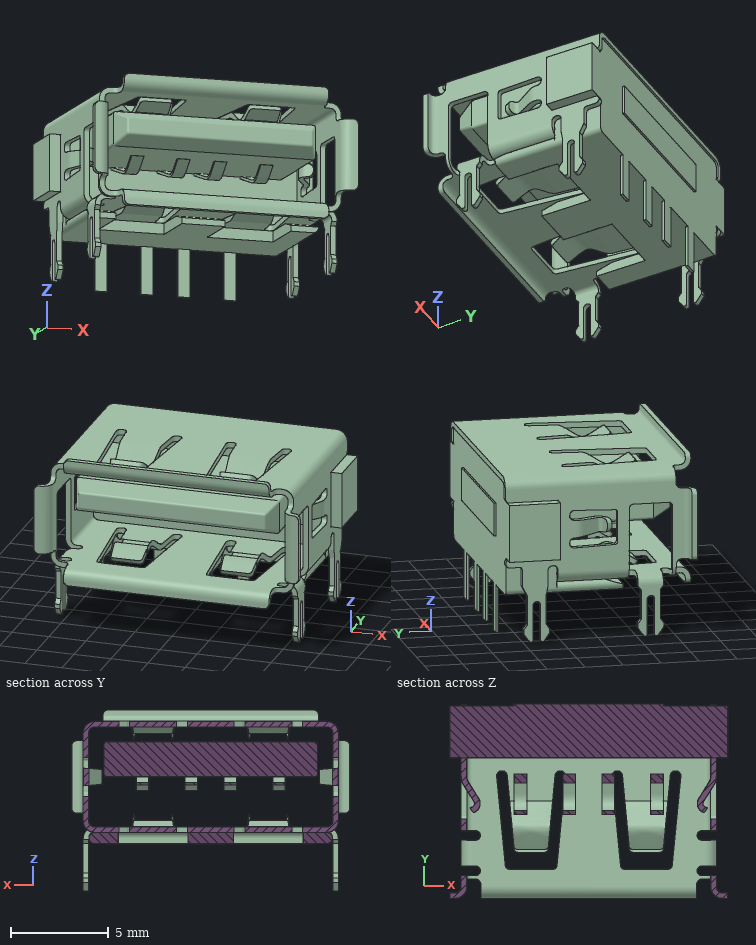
import cadquery as cq
import math


OVERALL_WIDTH = 14.3
OVERALL_HEIGHT = 9.4
FRONT_Y = -4.99
REAR_Y = 5.0
OVERCUT = 0.15

FULL_ROUND = 0.49
FORWARD = 180
TUBE_AXIS = ((0, 0, 0), (0, 1, 0))

SHEET = 0.3
BEND_INNER = 0.3
BEND_OUTER = BEND_INNER + SHEET
BEND_MID = BEND_INNER + SHEET / 2
FLARE_TAIL = 0.29
FLARE_RISE = BEND_INNER + FLARE_TAIL
HALF_WIDTH = OVERALL_WIDTH / 2 - FLARE_RISE
HALF_HEIGHT = 2.86
CAVITY_HALF_WIDTH = HALF_WIDTH - SHEET
CAVITY_HALF_HEIGHT = HALF_HEIGHT - SHEET
TUBE_FRONT_Y = -3.99

FLARE_BEND_Y = FRONT_Y + BEND_OUTER
WIDE_FLARE_HALF = 5.55
SIDE_FLARE_HALF = 1.87
FLARE_CORNER = 0.27
FLARE_ROOT_FILLET = 0.3

SPRING_BEND_RADIUS = 0.65
SPRING_ANGLE = 32
SPRING_ZONE_DEPTH = 1.15
SLOT_REAR_Y = 1.56
SLOT_FRONT_Y = -3.47
SLOT_REAR_HALF = 1.79
SLOT_FRONT_HALF = 1.3
TONGUE_REAR_HALF = 1.26
TONGUE_FRONT_HALF = 0.79
TONGUE_BEND_Y = 0.03
TONGUE_SLOPE = 0.85
TONGUE_RETURN = 0.99
SPRING_X = 2.96
SLOT_CORNER = 0.19
TONGUE_TIP_RADIUS = 0.2

SIDE_SLOT_REAR_Y = 1.62
SIDE_SLOT_FRONT_Y = -0.9
SIDE_SLOT_REAR_HALF = 1.0
SIDE_SLOT_FRONT_HALF = 0.92
SIDE_TONGUE_REAR_HALF = 0.49
SIDE_TONGUE_FRONT_HALF = 0.33
SIDE_TONGUE_BEND_Y = 1.27
SIDE_TONGUE_SLOPE = 1.02
SIDE_HOOK_RADIUS = 0.35
SIDE_HOOK_ANGLE = 65
SIDE_HOOK_LENGTH = 0.33
SIDE_SLOT_CORNER = 0.15
SIDE_TONGUE_TIP_RADIUS = 0.29

WINDOW_REAR_Y = -1.52
WINDOW_FRONT_Y = -3.8
WINDOW_TOP_Z = 1.16
WINDOW_CORNER = 0.23
RELIEF_WIDTH = 0.47
RELIEF_END_X = 5.58

LEG_TIP_Z = -5.86
LEG_HALF = 0.5
LEG_SLOT_WIDTH = 0.39
LEG_SLOT_TOP_Z = -3.73
BARB_HALF = 0.69
BARB_START_Z = -4.93
BARB_TOP_Z = -5.19
BARB_BOTTOM_Z = -5.42
LEG_TIP_HALF = 0.37
LEG_TIP_RADIUS = 0.07
FRONT_LEG_HALF = (WINDOW_REAR_Y - WINDOW_FRONT_Y) / 2 - RELIEF_WIDTH
FRONT_LEG_Y = (WINDOW_REAR_Y + WINDOW_FRONT_Y) / 2
FRONT_LEG_BEND_Z = -CAVITY_HALF_HEIGHT - BEND_OUTER
FRONT_LEG_SHOULDER_Z = -3.22
FRONT_LEG_NECK_Z = -3.43
REAR_LEG_Y = 3.35
REAR_LEG_BACK_HALF = 0.76
REAR_LEG_FRONT_HALF = 0.59
REAR_LEG_SHOULDER_Z = -2.92
REAR_LEG_NECK_Z = -3.4

BLOCK_FRONT_Y = 2.23
BLOCK_REAR_Y = 4.9
BLOCK_BOTTOM_Z = -3.43
BLOCK_EDGE_RADIUS = 0.3
EAR_TOP_Z = 1.57
EAR_BOTTOM_Z = -1.43
EAR_CORNER = 0.21
STRAP_BOTTOM_Z = -1.87
STRAP_REAR_Y = 4.98
STRAP_END_RADIUS = 0.2
STRAP_LEG_FILLET = 0.17

FOOT_FRONT_Y = -1.27
FOOT_TOP_RADIUS = 0.26
FOOT_SLOPE_Y = -0.37
FOOT_FRONT_THICKNESS = 0.31

BOARD_HALF_WIDTH = 5.49
BOARD_TOP_Z = 1.82
BOARD_BOTTOM_Z = 0.0
BOARD_TAPER_Y = -3.03
BOARD_FRONT_Y = -4.03
BOARD_TAPER_INSET = 0.46
BOARD_EDGE_RADIUS = 0.16

BOSS_WIDTH = 7.72
BOSS_TOP_Z = 0.92
BOSS_BOTTOM_Z = -0.82

CONTACT_POSITIONS = (-3.5, -1.0, 1.0, 3.5)
CONTACT_WIDTH = 0.66
CONTACT_THICKNESS = 0.15
CONTACT_START_Y = 2.36
CONTACT_START_Z = 0.01
CONTACT_DOWN_ANGLE = 17
CONTACT_UP_ANGLE = 38
CONTACT_DOWN_LENGTH = 2.1
CONTACT_UP_LENGTH = 0.82
CONTACT_BEND_RADIUS = 0.86
PIN_THICKNESS = 0.15
PIN_BOTTOM_Z = HALF_HEIGHT + FLARE_RISE - OVERALL_HEIGHT


def span(x0, x1, y0, y1, z0, z1):
    """Box between the given limits."""
    return cq.Workplane("XY").box(x1 - x0, y1 - y0, z1 - z0, centered=False).translate((x0, y0, z0))


def both_sides(body):
    """The body and its mirror image across the YZ plane."""
    return body.union(body.mirror("YZ"))


def direction(heading):
    """Unit vector of a heading in degrees."""
    return (math.cos(math.radians(heading)), math.sin(math.radians(heading)))


def final_heading(heading, moves):
    """Heading at the end of a path, in degrees."""
    return heading + sum(move[1] for move in moves if len(move) == 2)


def strip_edge(start, heading, moves, offset):
    """Points of a path offset to its left: each straight adds its end, each bend its middle and end."""
    x, y = start
    angle = math.radians(heading)
    points = []

    def add_point():
        points.append((x - offset * math.sin(angle), y + offset * math.cos(angle)))

    add_point()
    for move in moves:
        if len(move) == 1:
            x += move[0] * math.cos(angle)
            y += move[0] * math.sin(angle)
            add_point()
            continue
        radius, turn = move
        bend = math.copysign(radius, turn)
        centre_x = x - bend * math.sin(angle)
        centre_y = y + bend * math.cos(angle)
        for _ in range(2):
            angle += math.radians(turn) / 2
            x = centre_x + bend * math.sin(angle)
            y = centre_y - bend * math.cos(angle)
            add_point()
    return points


def draw_edge(outline, points, moves):
    """Continue the outline from the first point through the others with lines and arcs."""
    remaining = iter(points[1:])
    for move in moves:
        if len(move) == 1:
            outline = outline.lineTo(*next(remaining))
        else:
            outline = outline.threePointArc(next(remaining), next(remaining))
    return outline


def bent_strip(plane, start, heading, moves, thickness, width, smooth=False):
    """Strip of constant thickness that follows a centre line in the plane, centred across its width.

    A move is (length,) for a straight stretch, or (radius, turn) for a bend whose
    turn in degrees is positive to the left. Moves join smoothly. A smooth strip
    blends everything after the first straight stretch into one curve.
    """
    left = strip_edge(start, heading, moves, thickness / 2)
    right = strip_edge(start, heading, moves, -thickness / 2)
    outline = cq.Workplane(plane).workplane(offset=-width / 2).moveTo(*left[0])
    if smooth:
        end = final_heading(heading, moves)
        tangents = [direction(heading), direction(end)]
        back_tangents = [direction(end + 180), direction(heading + 180)]
        outline = outline.lineTo(*left[1]).spline(left[2:], tangents=tangents, includeCurrent=True)
        outline = outline.lineTo(*right[-1])
        outline = outline.spline(right[-2:0:-1], tangents=back_tangents, includeCurrent=True)
        outline = outline.lineTo(*right[0])
    else:
        outline = draw_edge(outline, left, moves).lineTo(*right[-1])
        outline = draw_edge(outline, right[::-1], moves[::-1])
    return outline.close().extrude(width)


def rounded_bar(half_width, half_height, radius, y0, y1):
    bar = span(-half_width, half_width, y0, y1, -half_height, half_height)
    return bar.edges("|Y").fillet(radius)


def make_tube():
    outer = rounded_bar(HALF_WIDTH, HALF_HEIGHT, BEND_OUTER, TUBE_FRONT_Y, REAR_Y)
    cavity = rounded_bar(CAVITY_HALF_WIDTH, CAVITY_HALF_HEIGHT, BEND_INNER,
                         TUBE_FRONT_Y - OVERCUT, REAR_Y + OVERCUT)
    return outer.cut(cavity)


def make_flare(wall_inner, half_width):
    """Lip at the front of the top wall: root with filleted corners, then a quarter bend outward."""
    root = (
        cq.Workplane("XY").workplane(offset=wall_inner)
        .moveTo(-half_width - FLARE_ROOT_FILLET, TUBE_FRONT_Y)
        .radiusArc((-half_width, TUBE_FRONT_Y - FLARE_ROOT_FILLET), FLARE_ROOT_FILLET)
        .lineTo(half_width, TUBE_FRONT_Y - FLARE_ROOT_FILLET)
        .radiusArc((half_width + FLARE_ROOT_FILLET, TUBE_FRONT_Y), FLARE_ROOT_FILLET)
        .close().extrude(SHEET)
    )
    lip = bent_strip("YZ", (TUBE_FRONT_Y, wall_inner + SHEET / 2), FORWARD,
                     [(TUBE_FRONT_Y - FLARE_BEND_Y,), (BEND_MID, -90), (FLARE_TAIL,)],
                     SHEET, 2 * half_width)
    lip = lip.faces(">Z").edges("|Y").fillet(FLARE_CORNER)
    return lip.union(root)


def flares():
    """The four lips, each turned about the tube axis from the top position."""
    wide = make_flare(CAVITY_HALF_HEIGHT, WIDE_FLARE_HALF)
    side = make_flare(CAVITY_HALF_WIDTH, SIDE_FLARE_HALF)
    return [wide, wide.rotate(*TUBE_AXIS, 180), side.rotate(*TUBE_AXIS, 90), side.rotate(*TUBE_AXIS, -90)]


def make_spring(wall_outer, rear_y, front_y, slot_halves, tongue_halves,
                slot_corner, tip_radius, path, smooth):
    """Opening and bent tongue of one spring in the top wall, centred on X = 0.

    The slot and the tongue sides are trapezoids, given by their half widths at the rear and the front.
    """
    def prism(rear_half, front_half):
        return (
            cq.Workplane("XY").workplane(offset=wall_outer - SPRING_ZONE_DEPTH)
            .polyline([(-rear_half, rear_y), (-front_half, front_y),
                       (front_half, front_y), (rear_half, rear_y)])
            .close().extrude(SPRING_ZONE_DEPTH + OVERCUT)
        )

    tongue_zone = prism(*tongue_halves)
    slot_zone = prism(*slot_halves).edges("|Z and <Y").fillet(slot_corner)
    slot_end_radius = FULL_ROUND * (slot_halves[0] - tongue_halves[0])
    arms = slot_zone.cut(tongue_zone).edges("|Z and >Y").fillet(slot_end_radius)

    strip = bent_strip("YZ", (rear_y, wall_outer - SHEET / 2), FORWARD, path,
                       SHEET, 2 * slot_halves[0], smooth)
    tongue = strip.intersect(tongue_zone)
    tip_direction = cq.Vector(0, *direction(final_heading(FORWARD, path)))
    tip = cq.selectors.DirectionMinMaxSelector(tip_direction)
    tongue = tongue.faces(tip).edges("not |X").fillet(tip_radius)
    return arms.union(tongue_zone), tongue


def wide_springs():
    """Two springs in the top wall and two in the floor, as (opening, tongue) pairs."""
    path = [(SLOT_REAR_Y - TONGUE_BEND_Y,), (SPRING_BEND_RADIUS, SPRING_ANGLE), (TONGUE_SLOPE,),
            (SPRING_BEND_RADIUS, -2 * SPRING_ANGLE), (TONGUE_RETURN,)]
    spring = make_spring(HALF_HEIGHT, SLOT_REAR_Y, SLOT_FRONT_Y,
                         (SLOT_REAR_HALF, SLOT_FRONT_HALF), (TONGUE_REAR_HALF, TONGUE_FRONT_HALF),
                         SLOT_CORNER, TONGUE_TIP_RADIUS, path, smooth=True)
    placed = []
    for x in (-SPRING_X, SPRING_X):
        top = [part.translate((x, 0, 0)) for part in spring]
        placed.append(top)
        placed.append([part.mirror("XY") for part in top])
    return placed


def side_springs():
    """One hooked spring in each side wall, as (opening, tongue) pairs."""
    path = [(SIDE_SLOT_REAR_Y - SIDE_TONGUE_BEND_Y,),
            (SPRING_BEND_RADIUS, SPRING_ANGLE), (SIDE_TONGUE_SLOPE,),
            (SIDE_HOOK_RADIUS, -SPRING_ANGLE - SIDE_HOOK_ANGLE), (SIDE_HOOK_LENGTH,)]
    spring = make_spring(HALF_WIDTH, SIDE_SLOT_REAR_Y, SIDE_SLOT_FRONT_Y,
                         (SIDE_SLOT_REAR_HALF, SIDE_SLOT_FRONT_HALF),
                         (SIDE_TONGUE_REAR_HALF, SIDE_TONGUE_FRONT_HALF),
                         SIDE_SLOT_CORNER, SIDE_TONGUE_TIP_RADIUS, path, smooth=False)
    return [[part.rotate(*TUBE_AXIS, angle) for part in spring] for angle in (90, -90)]


def make_leg(centre_y, back_half, front_half, top_z, shoulder_z, neck_z):
    """Split snap-in leg in the plane of the +X wall."""
    back = [(back_half, top_z), (back_half, shoulder_z), (LEG_HALF, neck_z), (LEG_HALF, BARB_START_Z),
            (BARB_HALF, BARB_TOP_Z), (BARB_HALF, BARB_BOTTOM_Z), (LEG_TIP_HALF, LEG_TIP_Z)]
    front = [(-half, z) for half, z in back[2:]]
    front = [(-front_half, top_z), (-front_half, shoulder_z)] + front
    outline = back + front[::-1]
    leg = (
        cq.Workplane("YZ").workplane(offset=CAVITY_HALF_WIDTH)
        .polyline([(centre_y + y, z) for y, z in outline]).close().extrude(SHEET)
    )
    slot = span(CAVITY_HALF_WIDTH - OVERCUT, HALF_WIDTH + OVERCUT,
                centre_y - LEG_SLOT_WIDTH / 2, centre_y + LEG_SLOT_WIDTH / 2,
                LEG_TIP_Z - OVERCUT, LEG_SLOT_TOP_Z)
    slot = slot.edges("|X and >Z").fillet(FULL_ROUND * LEG_SLOT_WIDTH)
    return leg.cut(slot).edges("|X and <Z").fillet(LEG_TIP_RADIUS)


def make_window():
    """Cut for the +X window, with a round-ended relief slot on each side of the front leg."""
    bend_start_x = CAVITY_HALF_WIDTH - BEND_INNER
    outside_x = HALF_WIDTH + OVERCUT
    floor_z = -HALF_HEIGHT - OVERCUT
    window = span(bend_start_x, outside_x, WINDOW_FRONT_Y, WINDOW_REAR_Y, floor_z, WINDOW_TOP_Z)
    window = window.edges("|X and >Z").fillet(WINDOW_CORNER)
    for y in (WINDOW_FRONT_Y, WINDOW_REAR_Y - RELIEF_WIDTH):
        relief = span(RELIEF_END_X, outside_x, y, y + RELIEF_WIDTH, floor_z, 0)
        window = window.union(relief.edges("|Z and <X").fillet(FULL_ROUND * RELIEF_WIDTH))
    return window


def make_front_leg():
    bend = bent_strip("XZ", (RELIEF_END_X, -HALF_HEIGHT + SHEET / 2), 0,
                      [(CAVITY_HALF_WIDTH - BEND_INNER - RELIEF_END_X,), (BEND_MID, -90)],
                      SHEET, 2 * FRONT_LEG_HALF).translate((0, FRONT_LEG_Y, 0))
    return bend.union(make_leg(FRONT_LEG_Y, FRONT_LEG_HALF, FRONT_LEG_HALF, FRONT_LEG_BEND_Z,
                               FRONT_LEG_SHOULDER_Z, FRONT_LEG_NECK_Z))


def make_rear_flank():
    """Strap under the ear in the plane of the +X wall, with the rear leg hanging from it."""
    outside_x = HALF_WIDTH + OVERCUT
    strap = span(CAVITY_HALF_WIDTH, HALF_WIDTH, BLOCK_FRONT_Y, STRAP_REAR_Y,
                 REAR_LEG_SHOULDER_Z, EAR_BOTTOM_Z)
    notch_front_y = BLOCK_FRONT_Y
    notch_rear_y = REAR_LEG_Y - REAR_LEG_FRONT_HALF
    notch = span(0, outside_x, notch_front_y, notch_rear_y, BLOCK_BOTTOM_Z, STRAP_BOTTOM_Z)
    notch = notch.edges("|X and >Z").fillet(FULL_ROUND * (notch_rear_y - notch_front_y))
    behind = span(0, outside_x, REAR_LEG_Y + REAR_LEG_BACK_HALF, REAR_Y + OVERCUT,
                  BLOCK_BOTTOM_Z, STRAP_BOTTOM_Z)
    behind = behind.edges("|X and >Z and <Y").fillet(STRAP_LEG_FILLET)
    strap = strap.cut(notch).cut(behind)
    strap = strap.edges("|X and >Y").fillet(STRAP_END_RADIUS)
    return strap.union(make_leg(REAR_LEG_Y, REAR_LEG_BACK_HALF, REAR_LEG_FRONT_HALF,
                                STRAP_BOTTOM_Z, REAR_LEG_SHOULDER_Z, REAR_LEG_NECK_Z))


def make_rear_cut():
    """Cutter that removes both side walls below the ear tops and the floor, behind the block front."""
    return span(-HALF_WIDTH - OVERCUT, HALF_WIDTH + OVERCUT, BLOCK_FRONT_Y, REAR_Y + OVERCUT,
                -HALF_HEIGHT - OVERCUT, EAR_TOP_Z)


def make_shell():
    shell = make_tube().cut(make_rear_cut())
    ear_corners = cq.selectors.BoxSelector(
        (-HALF_WIDTH, REAR_Y - OVERCUT, EAR_TOP_Z - OVERCUT),
        (HALF_WIDTH, REAR_Y + OVERCUT, EAR_TOP_Z + OVERCUT))
    shell = shell.edges(ear_corners).edges("|X").fillet(EAR_CORNER)
    for flare in flares():
        shell = shell.union(flare)

    for opening, tongue in wide_springs() + side_springs():
        shell = shell.cut(opening).union(tongue)
    shell = shell.cut(both_sides(make_window()))
    return shell.union(both_sides(make_front_leg())).union(both_sides(make_rear_flank()))


def make_block():
    """Rear block that closes the tube and reaches down past the floor, with an ear on each side."""
    block = span(-CAVITY_HALF_WIDTH, CAVITY_HALF_WIDTH, BLOCK_FRONT_Y, BLOCK_REAR_Y,
                 BLOCK_BOTTOM_Z, CAVITY_HALF_HEIGHT)
    block = block.edges("|Y").fillet(BLOCK_EDGE_RADIUS)
    ears = span(-OVERALL_WIDTH / 2, OVERALL_WIDTH / 2, BLOCK_FRONT_Y, BLOCK_REAR_Y,
                EAR_BOTTOM_Z, EAR_TOP_Z)
    boss = span(-BOSS_WIDTH / 2, BOSS_WIDTH / 2, BLOCK_REAR_Y, REAR_Y, BOSS_BOTTOM_Z, BOSS_TOP_Z)
    return block.union(ears).union(boss)


def make_foot():
    """Plate under the shell floor, sloped on top at the front and open under the floor springs."""
    foot = span(-CAVITY_HALF_WIDTH, CAVITY_HALF_WIDTH, FOOT_FRONT_Y, BLOCK_FRONT_Y,
                BLOCK_BOTTOM_Z, -HALF_HEIGHT)
    foot = foot.edges("|Y and <Z").fillet(BLOCK_EDGE_RADIUS).edges("|Y and >Z").fillet(FOOT_TOP_RADIUS)
    slope = (
        cq.Workplane("YZ")
        .polyline([(FOOT_SLOPE_Y, -HALF_HEIGHT), (FOOT_FRONT_Y, -HALF_HEIGHT),
                   (FOOT_FRONT_Y, BLOCK_BOTTOM_Z + FOOT_FRONT_THICKNESS)])
        .close().extrude(OVERALL_WIDTH / 2, both=True)
    )
    foot = foot.cut(slope)
    for x in (-SPRING_X, SPRING_X):
        clearance = span(x - SLOT_REAR_HALF, x + SLOT_REAR_HALF, FOOT_FRONT_Y - OVERCUT, SLOT_REAR_Y,
                         BLOCK_BOTTOM_Z - OVERCUT, -HALF_HEIGHT + OVERCUT)
        foot = foot.cut(clearance)
    return foot


def make_board():
    """Tongue of the receptacle with a tapered front end."""
    mid_z = (BOARD_TOP_Z + BOARD_BOTTOM_Z) / 2
    width = 2 * BOARD_HALF_WIDTH
    height = BOARD_TOP_Z - BOARD_BOTTOM_Z
    bar = span(-BOARD_HALF_WIDTH, BOARD_HALF_WIDTH, BOARD_TAPER_Y, BLOCK_FRONT_Y,
               BOARD_BOTTOM_Z, BOARD_TOP_Z)
    nose = (
        cq.Workplane("XZ", origin=(0, BOARD_TAPER_Y, mid_z)).rect(width, height)
        .workplane(offset=BOARD_TAPER_Y - BOARD_FRONT_Y)
        .rect(width - 2 * BOARD_TAPER_INSET, height - 2 * BOARD_TAPER_INSET)
        .loft(combine=True)
    )
    board = bar.union(nose)
    front_zone = cq.selectors.BoxSelector(
        (-BOARD_HALF_WIDTH, BOARD_FRONT_Y - OVERCUT, BOARD_BOTTOM_Z),
        (BOARD_HALF_WIDTH, BOARD_TAPER_Y - OVERCUT, BOARD_TOP_Z))
    along_y = cq.selectors.ParallelDirSelector(cq.Vector(0, 1, 0))
    return board.edges(front_zone + along_y).fillet(BOARD_EDGE_RADIUS)


def make_contact(x):
    """Spring arch under the board and solder pin under the block."""
    arch = bent_strip("YZ", (CONTACT_START_Y, CONTACT_START_Z), FORWARD + CONTACT_DOWN_ANGLE,
                      [(CONTACT_DOWN_LENGTH,),
                       (CONTACT_BEND_RADIUS, -CONTACT_DOWN_ANGLE - CONTACT_UP_ANGLE),
                       (CONTACT_UP_LENGTH,)],
                      CONTACT_THICKNESS, CONTACT_WIDTH).translate((x, 0, 0))
    pin = span(x - CONTACT_WIDTH / 2, x + CONTACT_WIDTH / 2, BLOCK_REAR_Y - PIN_THICKNESS, BLOCK_REAR_Y,
               PIN_BOTTOM_Z, BLOCK_BOTTOM_Z)
    return arch.union(pin)


def make_insulator():
    insulator = make_block().union(make_foot()).union(make_board())
    for x in CONTACT_POSITIONS:
        insulator = insulator.union(make_contact(x))
    return insulator


shell = make_shell()
insulator = make_insulator()
result = cq.Compound.makeCompound([*shell.vals(), *insulator.vals()])